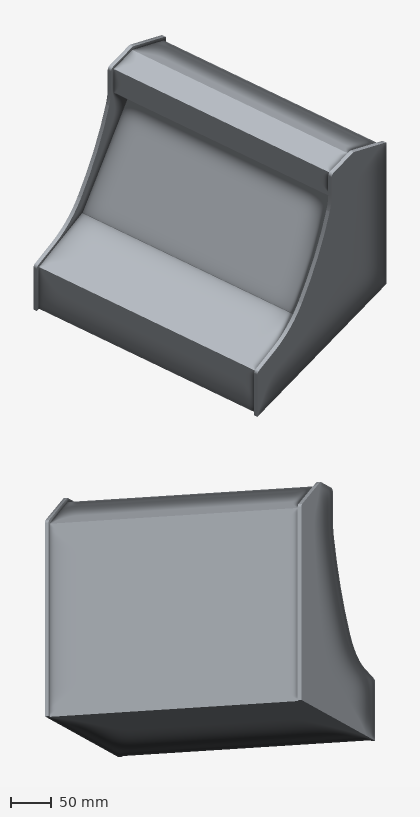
import cadquery as cq
import math

width = 331.0
depth = 280.0
height = 284.3

panel_thickness = 5.0
panel_corner_radius = 5.0
panel_nose_height = 75.8
seat_angle = 10.0
roof_angle = 30.0
panel_back_height = 243.0
crown_front_y = 161.0
seat_curve_start_y = 39.5
lower_curve_end = (96.0, 116.0)
middle_curve_end = (157.0, 224.5)
upper_curve_end = (crown_front_y, 253.0)

core_inset = 5.0
seat_back_y = 98.3
overhang_front_y = 166.8
overhang_bottom_z = 239.0

screen_angle = 50.0
screen_thickness = 5.0
screen_side_gap = 0.5
screen_foot_gap = 0.5

seat_slope = math.tan(math.radians(seat_angle))
roof_slope = math.tan(math.radians(roof_angle))
inner_width = width - 2 * panel_thickness

along_screen = (math.cos(math.radians(screen_angle)), math.sin(math.radians(screen_angle)))
into_cabinet = (along_screen[1], -along_screen[0])


def shifted(point, along, inward):
    """Move a (Y, Z) point along the screen and into the cabinet."""
    return (
        point[0] + along * along_screen[0] + inward * into_cabinet[0],
        point[1] + along * along_screen[1] + inward * into_cabinet[1],
    )


core_seat_drop = core_inset / math.cos(math.radians(seat_angle))
core_roof_drop = core_inset / math.cos(math.radians(roof_angle))


def core_seat_z(y):
    return panel_nose_height + y * seat_slope - core_seat_drop


screen_foot = (seat_back_y, core_seat_z(seat_back_y))
overhang_lip = (overhang_front_y, overhang_bottom_z)
screen_length = (
    (overhang_lip[0] - screen_foot[0]) * along_screen[0]
    + (overhang_lip[1] - screen_foot[1]) * along_screen[1]
)
screen_head = shifted(screen_foot, screen_length, 0)


def make_side_panel(left_x):
    roof_front_y = depth - (height - panel_back_height) / roof_slope
    seat_curve_start = (seat_curve_start_y, panel_nose_height + seat_curve_start_y * seat_slope)
    panel = (
        cq.Workplane("YZ", origin=(left_x, 0, 0))
        .moveTo(0, 0)
        .lineTo(0, panel_nose_height)
        .lineTo(*seat_curve_start)
        .tangentArcPoint(lower_curve_end, relative=False)
        .tangentArcPoint(middle_curve_end, relative=False)
        .tangentArcPoint(upper_curve_end, relative=False)
        .lineTo(crown_front_y, height)
        .lineTo(roof_front_y, height)
        .lineTo(depth, panel_back_height)
        .lineTo(depth, 0)
        .close()
        .extrude(panel_thickness)
    )
    upper_corners = [
        (0, panel_nose_height),
        (crown_front_y, height),
        (roof_front_y, height),
        (depth, panel_back_height),
    ]
    mid_x = left_x + panel_thickness / 2
    for y, z in upper_corners:
        corner_edge = cq.selectors.NearestToPointSelector((mid_x, y, z))
        panel = panel.edges("|X").edges(corner_edge).fillet(panel_corner_radius)
    return panel


def make_core():
    """Solid core with a recess that holds the screen plate."""
    core_back_y = depth - core_inset
    core_top_z = height - core_inset
    core_back_z = panel_back_height + core_inset * roof_slope - core_roof_drop
    roof_front_y = core_back_y - (core_top_z - core_back_z) / roof_slope
    outline = [
        (core_inset, 0),
        (core_inset, core_seat_z(core_inset)),
        screen_foot,
        shifted(screen_foot, 0, screen_thickness),
        shifted(screen_head, 0, screen_thickness),
        overhang_lip,
        (overhang_front_y, core_top_z),
        (roof_front_y, core_top_z),
        (core_back_y, core_back_z),
        (core_back_y, 0),
    ]
    return (
        cq.Workplane("YZ", origin=(panel_thickness, 0, 0))
        .polyline(outline)
        .close()
        .extrude(inner_width)
    )


def make_cabinet():
    cabinet = make_core()
    for left_x in (0, width - panel_thickness):
        cabinet = cabinet.union(make_side_panel(left_x))
    return cabinet


def make_screen():
    """Flat plate, flush with the seat edge, with a fine gap at its sides and foot."""
    outline = [
        shifted(screen_foot, screen_foot_gap, 0),
        screen_head,
        shifted(screen_head, 0, screen_thickness),
        shifted(screen_foot, screen_foot_gap, screen_thickness),
    ]
    return (
        cq.Workplane("YZ", origin=(panel_thickness + screen_side_gap, 0, 0))
        .polyline(outline)
        .close()
        .extrude(inner_width - 2 * screen_side_gap)
    )


cabinet = make_cabinet()
screen = make_screen()

result = cq.Compound.makeCompound([cabinet.solids().val(), screen.val()])